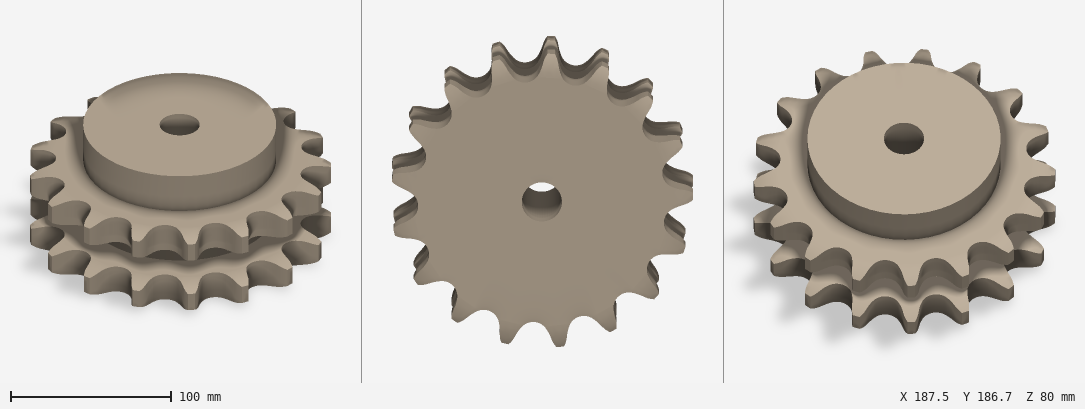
import cadquery as cq
import math


overall_width = 187.5
tooth_count = 17
pitch_radius = 86.5
roller_to_pitch = 0.6
seating_clearance = 0.04

rim_width = 18.2
strand_count = 2
strand_spacing = 36.4
hub_diameter = 120.0
bore_diameter = 25.0
total_height = 80.0

relief_start_radius = 79.3
relief_depth = 3.2

half_pitch_angle = math.pi / tooth_count
chain_pitch = 2 * pitch_radius * math.sin(half_pitch_angle)
roller = roller_to_pitch * chain_pitch
seating_angle = math.radians(35 + 60 / tooth_count)
working_angle = math.radians(18 - 56 / tooth_count)
topping_angle = math.radians(17 - 64 / tooth_count)
working_offset = 0.8 * roller
topping_offset = 1.4 * roller
seating_radius = 0.5025 * roller + seating_clearance
working_radius = working_offset + seating_radius


def polar(centre, radius, angle):
    """Point at the given radius and angle from a centre."""
    return (centre[0] + radius * math.cos(angle), centre[1] + radius * math.sin(angle))


def rotated(point, angle):
    """Point turned about the sprocket axis."""
    return polar((0, 0), math.hypot(*point), math.atan2(point[1], point[0]) + angle)


def mirrored(point):
    """Point reflected across the Y axis."""
    return (-point[0], point[1])


def arc_middle(centre, start, end):
    """Middle point of the shorter arc from start to end about a centre."""
    radius = math.dist(centre, start)
    chord_middle = ((start[0] + end[0]) / 2, (start[1] + end[1]) / 2)
    angle = math.atan2(chord_middle[1] - centre[1], chord_middle[0] - centre[0])
    return polar(centre, radius, angle)


roller_centre = (0, pitch_radius)
working_centre = polar(roller_centre, working_offset, seating_angle)
topping_centre = polar(roller_centre, topping_offset, half_pitch_angle - math.pi)

seating_end = polar(roller_centre, seating_radius, math.pi + seating_angle)
working_end_angle = math.pi + seating_angle - working_angle
working_end = polar(working_centre, working_radius, working_end_angle)
straight_length = topping_offset * math.sin(topping_angle) - working_offset * math.sin(working_angle)
topping_start = polar(working_end, straight_length, working_end_angle - math.pi / 2)
topping_radius = math.dist(topping_centre, topping_start)

turn_to_outermost = math.pi / 2 - half_pitch_angle / 2
outermost_centre = rotated(topping_centre, turn_to_outermost)
corner_x = -overall_width / 2
corner_rise = math.sqrt(topping_radius**2 - (corner_x - outermost_centre[0])**2)
outermost_corner = (corner_x, outermost_centre[1] + corner_rise)
tip_corner = rotated(outermost_corner, -turn_to_outermost)
tip_radius = math.hypot(*tip_corner)


def tooth_outline():
    """Closed outline of all teeth, drawn clockwise gap by gap."""
    topping_middle = arc_middle(topping_centre, tip_corner, topping_start)
    working_middle = arc_middle(working_centre, working_end, seating_end)
    seating_bottom = (0, pitch_radius - seating_radius)
    tip_middle = polar((0, 0), tip_radius, math.pi / 2 - half_pitch_angle)

    outline = cq.Workplane("XY").moveTo(*tip_corner)
    for gap in range(tooth_count):
        turn = -2 * half_pitch_angle * gap

        def place(point):
            return rotated(point, turn)

        outline = (
            outline
            .threePointArc(place(topping_middle), place(topping_start))
            .lineTo(*place(working_end))
            .threePointArc(place(working_middle), place(seating_end))
            .threePointArc(place(seating_bottom), place(mirrored(seating_end)))
            .threePointArc(place(mirrored(working_middle)), place(mirrored(working_end)))
            .lineTo(*place(mirrored(topping_start)))
            .threePointArc(place(mirrored(topping_middle)), place(mirrored(tip_corner)))
            .threePointArc(place(tip_middle), rotated(tip_corner, turn - 2 * half_pitch_angle))
        )
    return outline.close()


def relief_envelope():
    """Disc whose rim curves inward, tangent to both flat faces."""
    relief_run = tip_radius - relief_start_radius
    relief_radius = (relief_run**2 + relief_depth**2) / (2 * relief_depth)
    lower_centre = (relief_start_radius, relief_radius)
    lower_start = (relief_start_radius, 0)
    lower_end = (tip_radius, relief_depth)
    lower_middle = arc_middle(lower_centre, lower_start, lower_end)

    def upper(point):
        return (point[0], rim_width - point[1])

    return (
        cq.Workplane("XZ")
        .lineTo(*lower_start)
        .threePointArc(lower_middle, lower_end)
        .lineTo(*upper(lower_end))
        .threePointArc(upper(lower_middle), upper(lower_start))
        .lineTo(0, rim_width)
        .close()
        .revolve(360, (0, 0), (0, 1))
    )


toothed_disc = tooth_outline().extrude(rim_width).intersect(relief_envelope())
result = cq.Workplane("XY").circle(hub_diameter / 2).extrude(total_height)
for strand in range(strand_count):
    result = result.union(toothed_disc.translate((0, 0, strand * strand_spacing)))
result = result.cut(cq.Workplane("XY").circle(bore_diameter / 2).extrude(total_height))